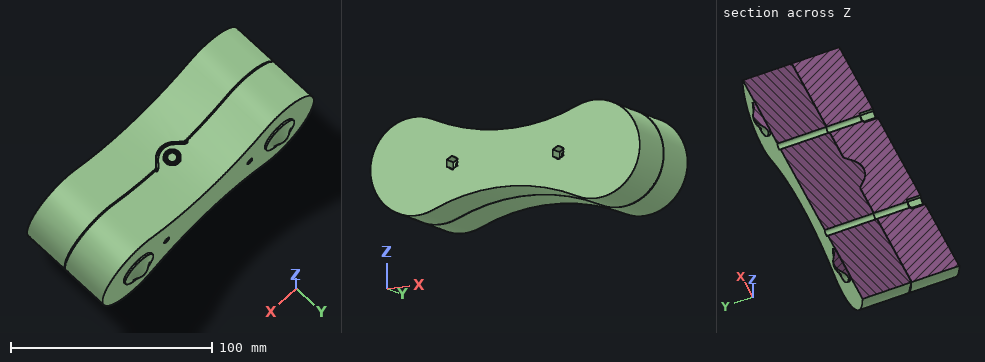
import cadquery as cq
import math

LENGTH = 150.0
END_RADIUS = LENGTH / 6
WAIST_RADIUS = 4 * END_RADIUS
END_X = LENGTH / 2 - END_RADIUS
HOUSING_DEPTH = 52.5
HALF_DEPTH = HOUSING_DEPTH / 2
WAIST_CENTRE_Z = math.sqrt((END_RADIUS + WAIST_RADIUS) ** 2 - END_X**2)
WAIST_Z = WAIST_CENTRE_Z - WAIST_RADIUS

LOBE_DEPTH = 6.5
LOBE_RADIUS = 9.0
LOBE_CENTRE_Y = LOBE_RADIUS - LOBE_DEPTH
BLEND_RADIUS = 2.2
SIN_45 = math.sqrt(0.5)
LOBE_HALF_WIDTH = (LOBE_RADIUS + BLEND_RADIUS) / SIN_45 - LOBE_CENTRE_Y - BLEND_RADIUS

GROOVE_WIDTH = 0.5
GROOVE_FRONT = -GROOVE_WIDTH / 2
GROOVE_BACK = GROOVE_WIDTH / 2
GROOVE_DEPTH = 0.8
STRIP_BACK = 1.2
STRIP_DEPTH = 0.2

SCREW_X = 29.5
SCREW_HOLE_DIAMETER = 3.6
NUT_CORNER_DIAMETER = 6.9
NUT_POCKET_DEPTH = 7.5

CAP_RADIUS = 0.4 * END_RADIUS
CAP_HEIGHT = 4.5
CAP_RIM_HEIGHT = 1.0

GLAND_Y = 1.2
GLAND_DEPTH = 7.5
GLAND_RECESS_RADIUS = 4.4
RING_TOP_RADIUS = 3.3
RING_CHAMFER = 0.6
CORE_RADIUS = 2.8
CORE_CHAMFER = 0.5

MARGIN = 1.5


def outline_block(inset):
    """Housing block, full depth, with its outline moved inward by inset."""
    end_radius = END_RADIUS - inset
    waist_z = WAIST_Z - inset
    centre_distance = END_RADIUS + WAIST_RADIUS
    tangent_x = END_X - end_radius * END_X / centre_distance
    tangent_z = end_radius * WAIST_CENTRE_Z / centre_distance
    tip_x = END_X + end_radius
    return (
        cq.Workplane("XZ", origin=(0, HALF_DEPTH, 0))
        .moveTo(-tangent_x, tangent_z)
        .threePointArc((0, waist_z), (tangent_x, tangent_z))
        .threePointArc((tip_x, 0), (tangent_x, -tangent_z))
        .threePointArc((0, -waist_z), (-tangent_x, -tangent_z))
        .threePointArc((-tip_x, 0), (-tangent_x, tangent_z))
        .close()
        .extrude(HOUSING_DEPTH)
    )


def behind_parting(offset):
    """Space behind the parting surface moved by offset toward +Y; the lobe is in the upper half."""
    lobe_radius = LOBE_RADIUS - offset
    blend_radius = BLEND_RADIUS + offset
    lobe_x = lobe_radius * SIN_45
    lobe_y = LOBE_CENTRE_Y - lobe_radius * SIN_45
    blend_x = LOBE_HALF_WIDTH - blend_radius * SIN_45
    blend_y = -BLEND_RADIUS + blend_radius * SIN_45
    far_y = HALF_DEPTH + MARGIN
    lobe = (
        cq.Workplane("XY")
        .moveTo(-LOBE_HALF_WIDTH, far_y)
        .lineTo(-LOBE_HALF_WIDTH, offset)
        .radiusArc((-blend_x, blend_y), blend_radius)
        .lineTo(-lobe_x, lobe_y)
        .threePointArc((0, LOBE_CENTRE_Y - lobe_radius), (lobe_x, lobe_y))
        .lineTo(blend_x, blend_y)
        .radiusArc((LOBE_HALF_WIDTH, offset), blend_radius)
        .lineTo(LOBE_HALF_WIDTH, far_y)
        .close()
        .extrude(END_RADIUS + MARGIN)
    )
    straight = cq.Workplane("XY").box(
        LENGTH + 2 * MARGIN, far_y - offset, 2 * (END_RADIUS + MARGIN), centered=(True, False, True)
    )
    return straight.translate((0, offset, 0)).union(lobe)


def screw_holes():
    """Two through holes along Y with hexagonal nut pockets at the front."""
    front = cq.Workplane("XZ", origin=(0, -HALF_DEPTH, 0)).pushPoints([(-SCREW_X, 0), (SCREW_X, 0)])
    holes = front.circle(SCREW_HOLE_DIAMETER / 2).extrude(-HOUSING_DEPTH)
    upright = cq.Plane(origin=(0, -HALF_DEPTH, 0), xDir=(0, 0, 1), normal=(0, 1, 0))
    pockets = (
        cq.Workplane(upright)
        .pushPoints([(0, -SCREW_X), (0, SCREW_X)])
        .polygon(6, NUT_CORNER_DIAMETER)
        .extrude(NUT_POCKET_DEPTH)
    )
    return holes.union(pockets)


def gland_plane(height):
    return cq.Workplane("XY", origin=(0, GLAND_Y, height))


def make_front_half():
    return outline_block(0).cut(behind_parting(GROOVE_FRONT)).cut(screw_holes())


def make_back_half():
    block = outline_block(0)
    groove_skin = block.cut(outline_block(GROOVE_DEPTH)).cut(behind_parting(GROOVE_BACK))
    strip_window = cq.Workplane("XY").box(
        2 * LOBE_HALF_WIDTH, HOUSING_DEPTH, END_RADIUS, centered=(True, True, False)
    )
    strip_skin = block.cut(outline_block(STRIP_DEPTH)).cut(behind_parting(STRIP_BACK)).intersect(strip_window)
    recess = gland_plane(WAIST_Z - GLAND_DEPTH).circle(GLAND_RECESS_RADIUS).extrude(GLAND_DEPTH + MARGIN)
    return (
        block.intersect(behind_parting(GROOVE_FRONT))
        .cut(groove_skin)
        .cut(strip_skin)
        .cut(screw_holes())
        .cut(recess)
    )


def make_cap(x):
    """Flat rim with a bell-shaped dome, level at its edge and at its peak, revolved about Y."""
    return (
        cq.Workplane("XY", origin=(x, HALF_DEPTH, 0))
        .lineTo(CAP_RADIUS, 0)
        .lineTo(CAP_RADIUS, CAP_RIM_HEIGHT)
        .spline([(0, CAP_HEIGHT)], tangents=[(-1, 0), (-1, 0)], includeCurrent=True)
        .close()
        .revolve(360, (0, 0, 0), (0, 1, 0))
    )


def make_gland_ring():
    """Ring seated in the recess floor, its top edge chamfered clear of the recess wall."""
    base = WAIST_Z - GLAND_DEPTH
    return (
        gland_plane(base)
        .circle(RING_TOP_RADIUS + RING_CHAMFER)
        .extrude(GLAND_DEPTH)
        .faces(">Z")
        .chamfer(RING_CHAMFER)
        .cut(gland_plane(base).circle(CORE_RADIUS).extrude(GLAND_DEPTH))
    )


def make_gland_core():
    return (
        gland_plane(WAIST_Z - GLAND_DEPTH)
        .circle(CORE_RADIUS)
        .extrude(GLAND_DEPTH)
        .faces(">Z")
        .chamfer(CORE_CHAMFER)
    )


front_half = make_front_half()
back_half = make_back_half()
caps = [make_cap(x) for x in (-END_X, END_X)]
gland_ring = make_gland_ring()
gland_core = make_gland_core()

result = cq.Compound.makeCompound(
    [
        front_half.val(),
        back_half.val(),
        *[cap.val() for cap in caps],
        gland_ring.val(),
        gland_core.val(),
    ]
)